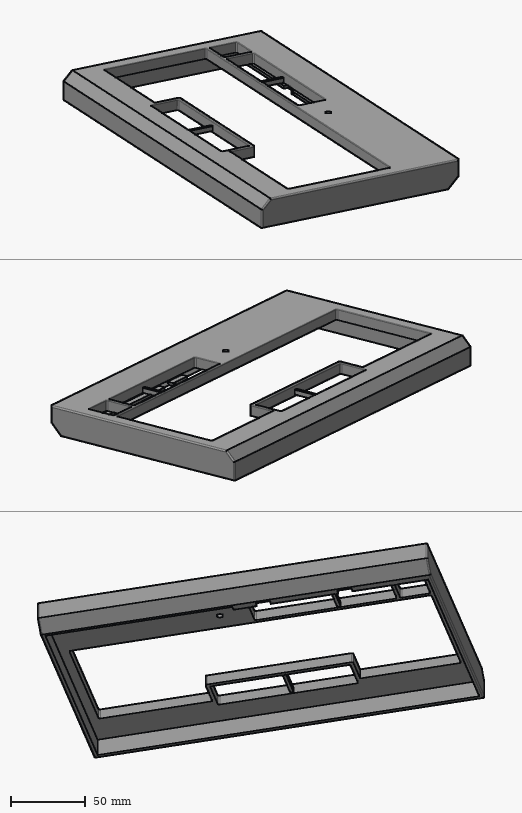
import cadquery as cq
import math

length = 269.6
depth = 151.8
height = 20.5
front_bevel = 6.7
rear_bevel = 8.0
end_round = 1.0
front_edge_round = 0.5

wall = 3.0
plate = 7.8
rear_bevel_wall = 1.3

main_width = 250.2
main_front = -50.2
main_rear = 28.5

upper_left = -main_width / 2
upper_right = -3.8
upper_front = 31.0
upper_rear = 52.0
post_left = -104.4
post_right = -102.0
upper_bar_x = -62.0
upper_bar_drop = 4.0

frame_left = -55.5
frame_right = 46.6
frame_rear = -31.0
frame_wall = 2.7
lower_front = -55.0
lower_rear = frame_rear - frame_wall
lower_bar_x = -7.0
lower_bar_drop = 3.2

bar_width = 2.5
bar_height = 3.5

corner_round = 1.0
rim_round = 0.4
cut_margin = 2.7

hole_diameter = 4.0
hole_x = 17.5
hole_y = 41.8

ledge_inset = 13.2
ledge_height = 2.2
ledge_spans = [(-length / 2 + wall, -79.5), (-69.8, -23.2), (-13.5, 2.7)]
pin_diameter = 4.0
pin_overhang = 0.3

top = height / 2
bottom = -height / 2
front = -depth / 2
rear = depth / 2
plate_bottom = top - plate


def block(x_min, x_max, y_min, y_max, z_min, z_max):
    size = (x_max - x_min, y_max - y_min, z_max - z_min)
    return cq.Workplane("XY").box(*size, centered=False).translate((x_min, y_min, z_min))


def side_prism(outline, width):
    """Extrude a (Y, Z) outline along X, centred on the case."""
    return cq.Workplane("YZ").polyline(outline).close().extrude(width / 2, both=True)


def make_body():
    outline = [
        (front, bottom),
        (rear - rear_bevel, bottom),
        (rear, bottom + rear_bevel),
        (rear, top),
        (front + front_bevel, top),
        (front, top - front_bevel),
    ]
    body = side_prism(outline, length)
    body = body.faces("<Y").edges("<Z").fillet(front_edge_round)
    return body.faces("<X or >X").edges().fillet(end_round)


def make_cavity():
    cavity_rear = rear - wall
    slope_end = rear_bevel + rear_bevel_wall * math.sqrt(2)
    outline = [
        (front + wall, bottom),
        (rear - slope_end, bottom),
        (cavity_rear, bottom + slope_end - wall),
        (cavity_rear, plate_bottom),
        (front + wall, plate_bottom),
    ]
    return side_prism(outline, length - 2 * wall)


def make_opening(x_min, x_max, y_min, y_max):
    cutter = block(x_min, x_max, y_min, y_max, plate_bottom - cut_margin, top)
    return cutter.edges("|Z").fillet(corner_round)


def make_main_opening():
    opening = make_opening(-main_width / 2, main_width / 2, main_front, main_rear)
    frame = make_opening(frame_left, frame_right, lower_front, frame_rear)
    return opening.cut(frame)


def make_bar(x, drop, y_min, y_max):
    z_max = top - drop
    return block(x - bar_width / 2, x + bar_width / 2, y_min, y_max, z_max - bar_height, z_max)


def make_ledge(x_min, x_max):
    return block(x_min, x_max, rear - ledge_inset, rear - rear_bevel, bottom, bottom + ledge_height)


def make_pin(x_min):
    radius = pin_diameter / 2
    base = cq.Workplane("XY", origin=(x_min + radius, rear - ledge_inset + radius - pin_overhang, bottom))
    return base.circle(radius).extrude(ledge_height)


result = make_body()

cutters = [
    make_main_opening(),
    make_opening(upper_left, post_left, upper_front, upper_rear),
    make_opening(post_right, upper_right, upper_front, upper_rear),
    make_opening(frame_left + frame_wall, frame_right - frame_wall, lower_front, lower_rear),
]
for cutter in cutters:
    result = result.cut(cutter)
rim_edges = [edge for wire in result.faces(">Z").val().innerWires() for edge in wire.Edges()]
result = result.newObject(rim_edges).fillet(rim_round)

result = result.cut(make_cavity())

result = result.union(make_bar(upper_bar_x, upper_bar_drop, upper_front, upper_rear))
result = result.union(make_bar(lower_bar_x, lower_bar_drop, lower_front, lower_rear))

hole = cq.Workplane("XY", origin=(hole_x, hole_y, plate_bottom)).circle(hole_diameter / 2).extrude(plate)
result = result.cut(hole)

for x_min, x_max in ledge_spans:
    result = result.union(make_ledge(x_min, x_max))
for x_min, _ in ledge_spans[1:]:
    result = result.union(make_pin(x_min))